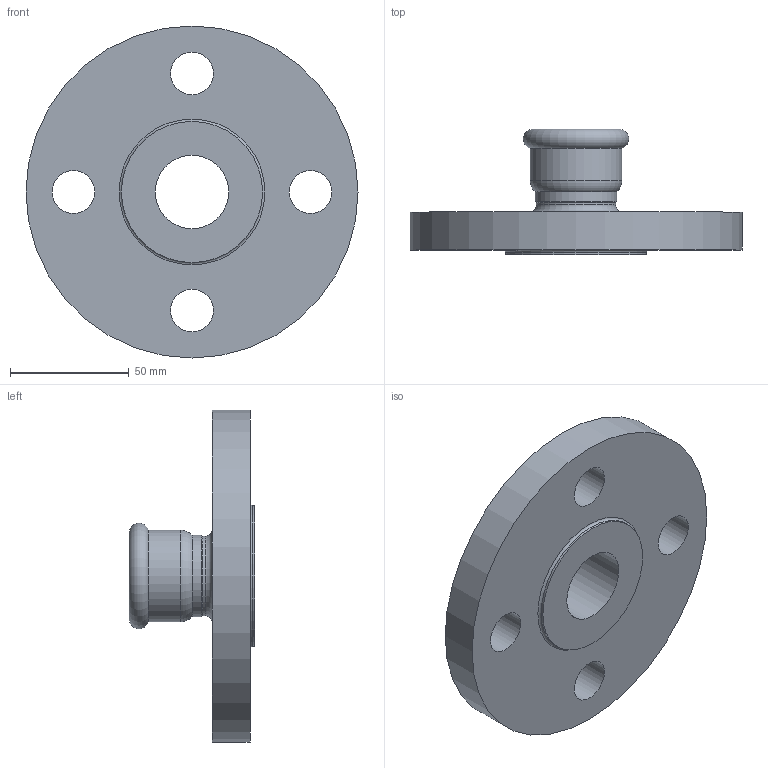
import cadquery as cq
import math


overall_length = 53.0

flange_diameter = 140.0
flange_thickness = 16.0
bolt_circle_diameter = 100.0
bolt_hole_diameter = 18.0
bolt_count = 4

face_diameter = 59.5
face_height = 2.0
face_fillet = 1.0

bore_diameter = 31.0

neck_diameter = 33.6
neck_fillet = 3.0
neck_length = 4.0

collar_diameter = 34.3
collar_length = 4.5
collar_chamfer = (collar_diameter - neck_diameter) / 2

shoulder_length = 4.8
socket_diameter = 38.6
bead_diameter = 44.5
bead_section_radius = 4.15

flange_front = face_height
flange_back = flange_front + flange_thickness
neck_end = flange_back + neck_length
collar_end = neck_end + collar_length
shoulder_end = collar_end + shoulder_length

flange_radius = flange_diameter / 2
face_radius = face_diameter / 2
bore_radius = bore_diameter / 2
neck_radius = neck_diameter / 2
collar_radius = collar_diameter / 2
socket_radius = socket_diameter / 2
bead_radius = bead_diameter / 2

bead_center_radius = bead_radius - bead_section_radius
bead_rise = math.sqrt(bead_section_radius**2 - (socket_radius - bead_center_radius) ** 2)
bead_center = overall_length - bead_section_radius
socket_end = bead_center - bead_rise

diagonal = math.sqrt(0.5)


def concave_mid(radius, plate_station, fillet, side):
    """Middle point of a fillet between a cylinder and the flange; side is +1 behind it, -1 in front."""
    inset = fillet * (1 - diagonal)
    return radius + inset, plate_station + side * inset


def shoulder_mid():
    """Middle point of the shoulder arc, which runs tangent into the socket wall."""
    step = socket_radius - collar_radius
    arc_radius = (shoulder_length**2 + step**2) / (2 * step)
    half_angle = math.asin(shoulder_length / arc_radius) / 2
    return (
        socket_radius - arc_radius * (1 - math.cos(half_angle)),
        shoulder_end - arc_radius * math.sin(half_angle),
    )


def make_body():
    """Revolve the half section (radius along Z, station along Y) about the Y axis."""
    section = (
        cq.Workplane("ZY")
        .moveTo(bore_radius, 0)
        .lineTo(face_radius, 0)
        .lineTo(face_radius, flange_front - face_fillet)
        .threePointArc(
            concave_mid(face_radius, flange_front, face_fillet, -1),
            (face_radius + face_fillet, flange_front),
        )
        .lineTo(flange_radius, flange_front)
        .lineTo(flange_radius, flange_back)
        .lineTo(neck_radius + neck_fillet, flange_back)
        .threePointArc(
            concave_mid(neck_radius, flange_back, neck_fillet, 1),
            (neck_radius, flange_back + neck_fillet),
        )
        .lineTo(neck_radius, neck_end)
        .lineTo(collar_radius, neck_end + collar_chamfer)
        .lineTo(collar_radius, collar_end)
        .threePointArc(shoulder_mid(), (socket_radius, shoulder_end))
        .lineTo(socket_radius, socket_end)
        .threePointArc((bead_radius, bead_center), (bead_center_radius, overall_length))
        .lineTo(bore_radius, overall_length)
        .close()
    )
    return section.revolve(360, (0, 0, 0), (0, 1, 0))


def make_bolt_holes():
    """Through holes on the bolt circle, on the X and Z axes."""
    return (
        cq.Workplane("XZ", origin=(0, flange_back, 0))
        .polarArray(bolt_circle_diameter / 2, 0, 360, bolt_count)
        .circle(bolt_hole_diameter / 2)
        .extrude(flange_thickness)
    )


result = make_body().cut(make_bolt_holes())